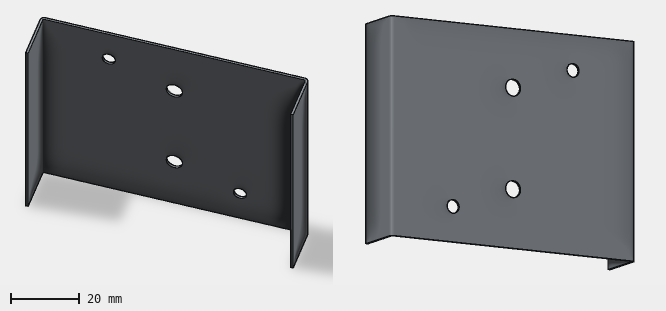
import cadquery as cq

width = 81.6
depth = 15.0
height = 65.0

thickness = 0.78
inner_bend_radius = 0.45
outer_bend_radius = inner_bend_radius + thickness

large_hole_diameter = 5.0
large_hole_spacing = 30.0
small_hole_diameter = 4.0
small_hole_offset_x = 20.0
small_hole_offset_z = 22.0


def bent_channel():
    """U-shaped sheet: web at +Y, two flanges running toward -Y."""
    outer = (
        cq.Workplane("XY")
        .box(width, depth, height)
        .edges("|Z and >Y")
        .fillet(outer_bend_radius)
    )
    inner = (
        cq.Workplane("XY")
        .box(width - 2 * thickness, depth, height)
        .edges("|Z and >Y")
        .fillet(inner_bend_radius)
        .translate((0, -thickness, 0))
    )
    return outer.cut(inner)


def web_holes(diameter, centers):
    """Cylinders along Y, long enough to pierce the web."""
    return (
        cq.Workplane("XZ")
        .pushPoints(centers)
        .circle(diameter / 2)
        .extrude(depth, both=True)
    )


large_centers = [(0, side * large_hole_spacing / 2) for side in (-1, 1)]

small_centers = [(-side * small_hole_offset_x, side * small_hole_offset_z) for side in (-1, 1)]

result = (
    bent_channel()
    .cut(web_holes(large_hole_diameter, large_centers))
    .cut(web_holes(small_hole_diameter, small_centers))
)